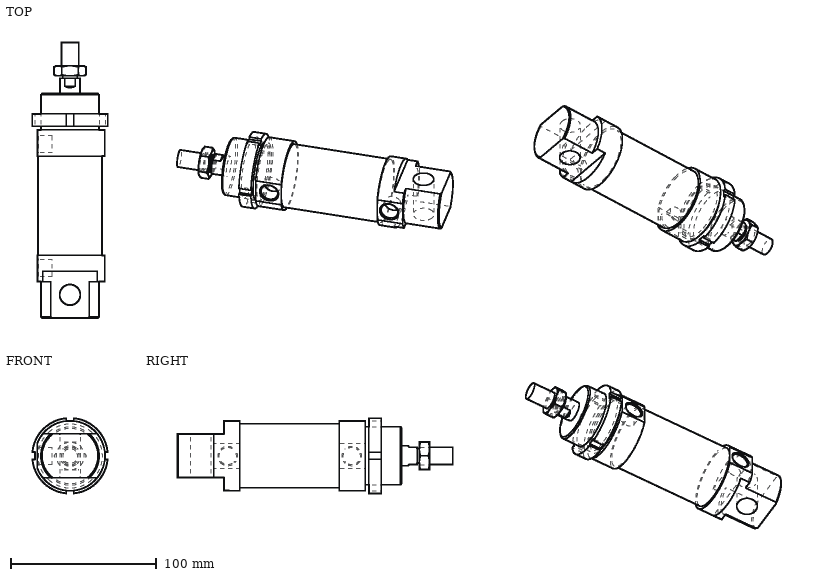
import cadquery as cq
import math


head_diameter = 40.0
collar_diameter = 48.0
tube_diameter = 44.0
tongue_thickness = 30.0
tongue_step_y = 32.0
rear_collar_y = 25.0
collar_length = 18.0
front_collar_y = 111.0
front_collar_end_y = front_collar_y + collar_length
rear_collar_end_y = rear_collar_y + collar_length
head_face_y = 154.0
head_chamfer = 1.0
rear_chamfer = 0.8

pivot_diameter = 14.0
pivot_y = 16.0

port_flat_x = 22.4
port_diameter = 11.8
port_mouth_diameter = 13.4
port_depth = 10.0
port_setback = 8.5
port_positions = (rear_collar_end_y - port_setback, front_collar_y + port_setback)

ring_diameter = 52.0
ring_y = 131.5
ring_thickness = 8.5
ring_slot_width = 5.0
ring_slot_floor = 24.0
ring_slot_count = 4

rod_diameter = 14.0
rod_flats = 12.0
rod_flat_length = 5.5
thread_diameter = 12.0
neck_diameter = 10.0
shoulder_y = 164.5
rod_tip_y = 189.0

nut_flats = 19.0
nut_thickness = 7.0
nut_y = 166.0
nut_chamfer_angle = 30.0
hexagon_sides = 6


def disc(diameter, start_y, end_y):
    """Solid cylinder on the Y axis between two Y positions."""
    plane = cq.Workplane("XZ", origin=(0, start_y, 0))
    return plane.circle(diameter / 2).extrude(start_y - end_y)


def block(x_range, y_range, z_range):
    """Axis-aligned box given by its limits along X, Y and Z."""
    corners = list(zip(x_range, y_range, z_range))
    size = [high - low for low, high in (x_range, y_range, z_range)]
    return cq.Workplane("XY").box(*size, centered=False).translate(corners[0])


def port_cutter(port_y):
    """Port bore entering from the -X flat, with a 45 degree countersink at its mouth."""
    bore_radius = port_diameter / 2
    mouth_radius = port_mouth_diameter / 2
    countersink_x = port_flat_x - (mouth_radius - bore_radius)
    bottom_x = port_flat_x - port_depth
    half_section = (
        cq.Workplane("XY")
        .moveTo(-port_flat_x, 0)
        .lineTo(-port_flat_x, mouth_radius)
        .lineTo(-countersink_x, bore_radius)
        .lineTo(-bottom_x, bore_radius)
        .lineTo(-bottom_x, 0)
        .close()
    )
    return half_section.revolve(360, (0, 0, 0), (1, 0, 0)).translate((0, port_y, 0))


def make_housing():
    """Tube with its front head, rear collar and flattened rear tongue."""
    tongue = disc(head_diameter, 0, rear_collar_y).faces("<Y").chamfer(rear_chamfer)
    front_head = disc(head_diameter, front_collar_end_y, head_face_y).faces(">Y").chamfer(head_chamfer)
    body = (
        tongue.union(disc(collar_diameter, rear_collar_y, rear_collar_end_y))
        .union(disc(tube_diameter, rear_collar_end_y, front_collar_y))
        .union(disc(collar_diameter, front_collar_y, front_collar_end_y))
        .union(front_head)
    )

    reach = collar_diameter
    half_tongue = tongue_thickness / 2
    body = body.cut(block((-reach, reach), (0, tongue_step_y), (half_tongue, reach)))
    body = body.cut(block((-reach, reach), (0, tongue_step_y), (-reach, -half_tongue)))
    pivot_axis = cq.Workplane("XY").center(0, pivot_y)
    body = body.cut(pivot_axis.circle(pivot_diameter / 2).extrude(tongue_thickness, both=True))

    body = body.cut(block((-reach, -port_flat_x), (0, head_face_y), (-reach, reach)))
    for port_y in port_positions:
        body = body.cut(port_cutter(port_y))
    return body


def make_ring_nut():
    """Round nut with spanner slots around its rim."""
    ring_end_y = ring_y + ring_thickness
    ring = disc(ring_diameter, ring_y, ring_end_y).cut(disc(head_diameter, ring_y, ring_end_y))
    half_slot = ring_slot_width / 2
    slot = block((ring_slot_floor, ring_diameter), (ring_y, ring_end_y), (-half_slot, half_slot))
    for index in range(ring_slot_count):
        angle = 360 / ring_slot_count * index
        ring = ring.cut(slot.rotate((0, 0, 0), (0, 1, 0), angle))
    return ring


def make_rod():
    """Rod with spanner flats, a neck and a plain cylinder for the thread, seated on the head face."""
    rod = (
        disc(rod_diameter, head_face_y, shoulder_y)
        .union(disc(neck_diameter, shoulder_y, nut_y))
        .union(disc(thread_diameter, nut_y, rod_tip_y))
    )

    half_flats = rod_flats / 2
    flat_height = rod_diameter - half_flats
    flat_end_y = shoulder_y - rod_flat_length
    flat = (
        cq.Workplane("YZ")
        .moveTo(shoulder_y, half_flats)
        .lineTo(flat_end_y, half_flats)
        .lineTo(flat_end_y - flat_height, rod_diameter)
        .lineTo(shoulder_y, rod_diameter)
        .close()
        .extrude(rod_diameter, both=True)
    )
    return rod.cut(flat).cut(flat.mirror("XY"))


def make_rod_nut():
    """Hexagon nut with corners on the X axis and both faces chamfered."""
    nut_end_y = nut_y + nut_thickness
    corner_diameter = nut_flats / math.cos(math.pi / hexagon_sides)
    corner_excess = (corner_diameter - nut_flats) / 2
    hexagon = (
        cq.Workplane("XZ", origin=(0, nut_y, 0))
        .polygon(hexagon_sides, corner_diameter)
        .extrude(-nut_thickness)
    )
    chamfer_height = corner_excess * math.tan(math.radians(nut_chamfer_angle))
    envelope = (
        disc(corner_diameter, nut_y, nut_end_y)
        .faces("<Y or >Y")
        .chamfer(chamfer_height, corner_excess)
    )
    return hexagon.intersect(envelope).cut(disc(thread_diameter, nut_y, nut_end_y))


housing = make_housing()
ring_nut = make_ring_nut()
rod = make_rod()
rod_nut = make_rod_nut()

result = cq.Compound.makeCompound([housing.val(), ring_nut.val(), rod.val(), rod_nut.val()])